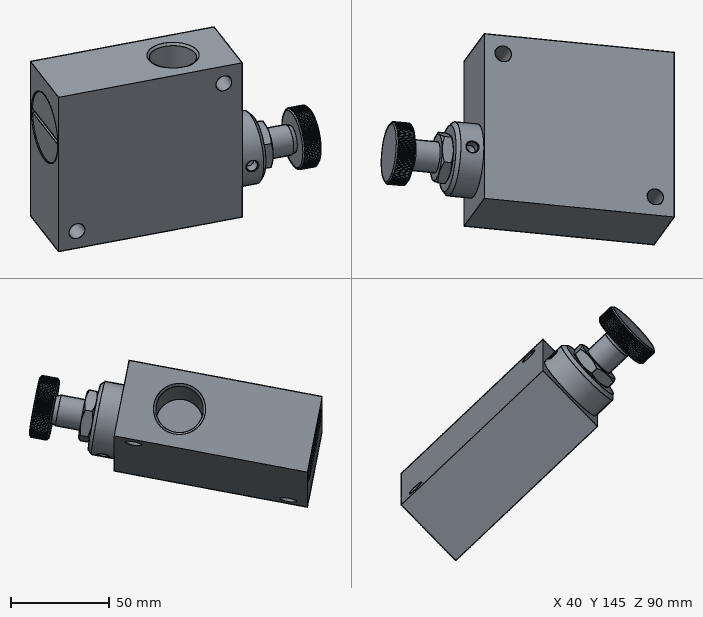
import cadquery as cq
import math

block_width = 40.0
block_length = 100.0
block_height = 90.0
axis_inset = 28.0

mount_hole_dia = 8.5
mount_hole_inset = 10.0

port_dia = 24.0
port_mouth_dia = 26.5
port_depth = 34.8
port_y = 70.0

plug_dia = 37.0
plug_bore_dia = 37.5
plug_slot_width = 2.0
plug_recess = 0.6
plug_slot_depth = 1.5
plug_gap_depth = 1.5

cap_dia = 38.0
cap_length = 14.0
cap_chamfer = 2.0
nut_across_flats = 24.0
nut_length = 6.0
nut_chamfer_length = 1.2
nut_end_dia = 23.8
spindle_dia = 16.0
spindle_length = 15.0
spindle_chamfer_length = 2.3
spindle_chamfer_width = 0.9
knob_dia = 32.0
knob_length = 10.0
knob_chamfer_length = 1.0
knob_chamfer_width = 1.2
knob_tooth_count = 100
knob_tooth_depth = 0.5

spanner_hole_dia = 6.0
spanner_mouth_dia = 7.0
spanner_hole_depth = 5.8
spanner_hole_offset = 6.0
drill_point_angle = 118.0

cap_start = block_length
nut_start = cap_start + cap_length
spindle_start = nut_start + nut_length
knob_start = spindle_start + spindle_length


def turned(profile):
    """Revolve a closed (radius, y) outline about the spindle axis."""
    outline = cq.Workplane("XY").polyline(profile).close()
    return outline.revolve(360, (0, 0), (0, 1)).translate((0, 0, axis_inset))


def along_spindle(start):
    """Workplane on the spindle axis, facing +Y."""
    return cq.Workplane("XZ", origin=(0, start, axis_inset)).transformed(rotate=(0, 180, 0))


def make_block():
    block = cq.Workplane("XY").box(block_width, block_length, block_height, centered=(True, False, False))
    mount_points = [
        (mount_hole_inset, mount_hole_inset),
        (block_length - mount_hole_inset, block_height - mount_hole_inset),
    ]
    mount_holes = (
        cq.Workplane("YZ").pushPoints(mount_points)
        .circle(mount_hole_dia / 2).extrude(block_width / 2, both=True)
    )
    port_chamfer = (port_mouth_dia - port_dia) / 2
    port = (
        cq.Workplane("XY", origin=(0, port_y, block_height))
        .circle(port_dia / 2).extrude(-port_depth)
    )
    mouth = cq.Workplane(
        cq.Solid.makeCone(
            port_mouth_dia / 2, port_dia / 2, port_chamfer,
            pnt=cq.Vector(0, port_y, block_height), dir=cq.Vector(0, 0, -1),
        )
    )
    return block.cut(mount_holes).cut(port).cut(mouth)


def make_plug_cuts():
    """Recess over the plug, the narrow gap around it and the screwdriver slot across it."""
    face = cq.Workplane("XZ", origin=(0, 0, block_height - axis_inset))
    slot_floor = plug_recess + plug_slot_depth
    gap_floor = plug_recess + plug_gap_depth
    recess = face.circle(plug_bore_dia / 2).extrude(-plug_recess)
    gap = face.circle(plug_bore_dia / 2).circle(plug_dia / 2).extrude(-gap_floor)
    slot = face.rect(plug_bore_dia, plug_slot_width).extrude(-slot_floor)
    bore = face.circle(plug_bore_dia / 2).extrude(-slot_floor)
    return recess.union(gap).union(slot.intersect(bore))


def make_cap():
    radius = cap_dia / 2
    cap = turned([
        (0, cap_start),
        (radius, cap_start),
        (radius, nut_start - cap_chamfer),
        (radius - cap_chamfer, nut_start),
        (0, nut_start),
    ])
    hole_radius = spanner_hole_dia / 2
    mouth_radius = spanner_mouth_dia / 2
    mouth_depth = mouth_radius - hole_radius
    point_length = hole_radius / math.tan(math.radians(drill_point_angle / 2))
    hole = (
        cq.Workplane("XY")
        .polyline([
            (radius, 0),
            (radius, mouth_radius),
            (radius - mouth_depth, hole_radius),
            (radius - spanner_hole_depth, hole_radius),
            (radius - spanner_hole_depth - point_length, 0),
        ])
        .close().revolve(360, (0, 0), (1, 0))
        .translate((0, cap_start + spanner_hole_offset, axis_inset))
    )
    return cap.cut(hole).cut(hole.mirror("YZ"))


def make_nut():
    corner_radius = nut_across_flats / math.sqrt(3)
    end_radius = nut_end_dia / 2
    prism = along_spindle(nut_start).polygon(6, 2 * corner_radius).extrude(nut_length)
    prism = prism.rotate((0, 0, axis_inset), (0, 1, axis_inset), 90)
    envelope = turned([
        (0, nut_start),
        (end_radius, nut_start),
        (corner_radius, nut_start + nut_chamfer_length),
        (corner_radius, spindle_start - nut_chamfer_length),
        (end_radius, spindle_start),
        (0, spindle_start),
    ])
    return prism.intersect(envelope)


def make_spindle():
    radius = spindle_dia / 2
    return turned([
        (0, spindle_start),
        (radius, spindle_start),
        (radius, knob_start - spindle_chamfer_length),
        (radius - spindle_chamfer_width, knob_start),
        (0, knob_start),
    ])


def make_knob():
    """Straight-knurled disc with V teeth and chamfered rims."""
    tip_radius = knob_dia / 2
    root_radius = tip_radius - knob_tooth_depth
    half_pitch = math.pi / knob_tooth_count
    rim = []
    for i in range(2 * knob_tooth_count):
        radius = tip_radius if i % 2 == 0 else root_radius
        rim.append((radius * math.sin(i * half_pitch), radius * math.cos(i * half_pitch)))
    toothed = along_spindle(knob_start).polyline(rim).close().extrude(knob_length)
    knob_end = knob_start + knob_length
    end_radius = tip_radius - knob_chamfer_width
    envelope = turned([
        (0, knob_start),
        (end_radius, knob_start),
        (tip_radius, knob_start + knob_chamfer_length),
        (tip_radius, knob_end - knob_chamfer_length),
        (end_radius, knob_end),
        (0, knob_end),
    ])
    return toothed.intersect(envelope)


result = make_block().cut(make_plug_cuts())
for piece in (make_cap(), make_nut(), make_spindle(), make_knob()):
    result = result.union(piece)